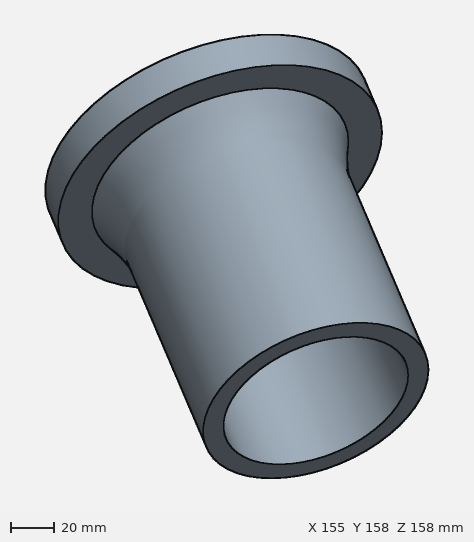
import cadquery as cq

total_length = 155.0
flange_diameter = 158.0
flange_thickness = 18.6
pipe_diameter = 110.0
bore_diameter = 90.0
neck_length = 24.6
neck_root_diameter = 125.1
neck_sag = 1.0

flange_radius = flange_diameter / 2
pipe_radius = pipe_diameter / 2
bore_radius = bore_diameter / 2
neck_root_radius = neck_root_diameter / 2
neck_end = flange_thickness + neck_length
neck_middle = (
    flange_thickness + neck_length / 2,
    (neck_root_radius + pipe_radius) / 2 - neck_sag,
)

half_section = (
    cq.Workplane("XY")
    .moveTo(0, bore_radius)
    .lineTo(0, flange_radius)
    .lineTo(flange_thickness, flange_radius)
    .lineTo(flange_thickness, neck_root_radius)
    .threePointArc(neck_middle, (neck_end, pipe_radius))
    .lineTo(total_length, pipe_radius)
    .lineTo(total_length, bore_radius)
    .close()
)

result = half_section.revolve(360, (0, 0, 0), (1, 0, 0)).translate((-total_length / 2, 0, 0))